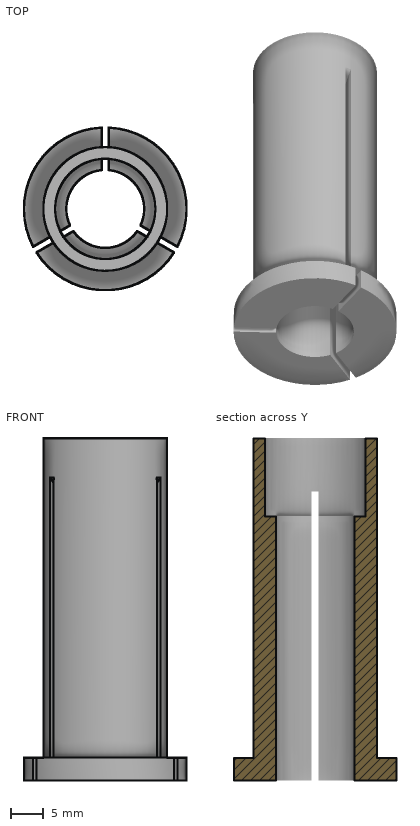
import cadquery as cq
import math

total_height = 52.5
flange_diameter = 25.0
flange_thickness = 3.5
tube_diameter = 19.0

upper_bore_diameter = 15.4
lower_bore_diameter = 11.9
ledge_height = 40.55

slot_count = 3
slot_width = 1.0
slot_top_gap = 6.05
slot_end_slope = 50.0
first_slot_angle = 90.0


def make_body():
    """Flanged sleeve, solid, standing on the XY plane."""
    flange = cq.Workplane("XY").circle(flange_diameter / 2).extrude(flange_thickness)
    tube = cq.Workplane("XY").circle(tube_diameter / 2).extrude(total_height)
    return flange.union(tube)


def make_bore():
    """Through bore that widens above the ledge."""
    lower = cq.Workplane("XY").circle(lower_bore_diameter / 2).extrude(total_height)
    upper = (
        cq.Workplane("XY")
        .workplane(offset=ledge_height)
        .circle(upper_bore_diameter / 2)
        .extrude(total_height - ledge_height)
    )
    return lower.union(upper)


def make_slot(angle):
    """Radial slot, open at the bottom, whose upper end slopes down towards the axis."""
    tube_radius = tube_diameter / 2
    outer_top = total_height - slot_top_gap
    axis_top = outer_top - tube_radius * math.tan(math.radians(slot_end_slope))
    return (
        cq.Workplane("XZ")
        .moveTo(0, 0)
        .lineTo(flange_diameter, 0)
        .lineTo(flange_diameter, outer_top)
        .lineTo(tube_radius, outer_top)
        .lineTo(0, axis_top)
        .close()
        .extrude(slot_width / 2, both=True)
        .rotate((0, 0, 0), (0, 0, 1), angle)
    )


result = make_body().cut(make_bore())
for index in range(slot_count):
    result = result.cut(make_slot(first_slot_angle + index * 360 / slot_count))